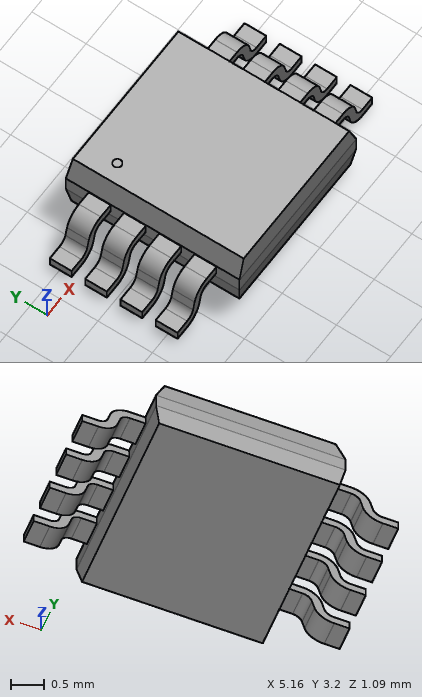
import cadquery as cq
import math

overall_length = 5.16
overall_height = 1.09

waist_length = 3.095
waist_width = 3.2
top_length = 2.795
top_width = 3.15
bottom_length = 2.95
bottom_width = 3.095
standoff = 0.045
waist_bottom_z = 0.43
waist_top_z = 0.71

lead_count_per_side = 4
lead_pitch = 0.65
lead_width = 0.4
lead_thickness = 0.17
lead_top_z = 0.695
shoulder_length = 0.26
foot_length = 0.26
inner_bend_radius = 0.16

marker_diameter = 0.155
marker_depth = 0.02
marker_x = -1.08

half_waist = waist_length / 2
lead_reach = overall_length / 2 - half_waist
outer_bend_radius = inner_bend_radius + lead_thickness
bend_run = lead_reach - shoulder_length - foot_length
bend_drop = lead_top_z - lead_thickness
radius_sum = inner_bend_radius + outer_bend_radius
shank_length = math.sqrt(bend_run**2 + bend_drop**2 - 2 * radius_sum * bend_drop)
bend_angle = math.atan2(radius_sum, shank_length) + math.atan2(bend_drop - radius_sum, bend_run)

first_lead_y = (lead_count_per_side - 1) / 2 * lead_pitch
marker_y = first_lead_y


def tapered_half(waist_z, end_z, end_length, end_width):
    """Loft from the waist rectangle to a smaller end rectangle."""
    return (
        cq.Workplane("XY", origin=(0, 0, waist_z))
        .rect(waist_length, waist_width)
        .workplane(offset=end_z - waist_z)
        .rect(end_length, end_width)
        .loft(ruled=True)
    )


def make_marker():
    """Disc flush with the housing top."""
    return (
        cq.Workplane("XY", origin=(marker_x, marker_y, overall_height - marker_depth))
        .circle(marker_diameter / 2)
        .extrude(marker_depth)
    )


def make_housing():
    """Tapered housing with a recess that holds the marker."""
    waist = (
        cq.Workplane("XY", origin=(0, 0, waist_bottom_z))
        .rect(waist_length, waist_width)
        .extrude(waist_top_z - waist_bottom_z)
    )
    upper = tapered_half(waist_top_z, overall_height, top_length, top_width)
    lower = tapered_half(waist_bottom_z, standoff, bottom_length, bottom_width)
    return waist.union(upper).union(lower).cut(make_marker())


def shoulder_bend_point(radius, angle):
    """Point on the upper bend, at an angle turned from straight up toward the tip."""
    center_x = half_waist + shoulder_length
    center_z = lead_top_z - outer_bend_radius
    return (center_x + radius * math.sin(angle), center_z + radius * math.cos(angle))


def foot_bend_point(radius, angle):
    """Point on the lower bend, at an angle turned from straight down toward the housing."""
    center_x = overall_length / 2 - foot_length
    center_z = outer_bend_radius
    return (center_x - radius * math.sin(angle), center_z - radius * math.cos(angle))


def make_lead(lead_y):
    """Gull-wing lead of the +X row, centred on lead_y and butting against the waist."""
    half_angle = bend_angle / 2
    tip_x = overall_length / 2
    return (
        cq.Workplane("XZ", origin=(0, lead_y + lead_width / 2, 0))
        .moveTo(half_waist, lead_top_z)
        .lineTo(*shoulder_bend_point(outer_bend_radius, 0))
        .threePointArc(
            shoulder_bend_point(outer_bend_radius, half_angle),
            shoulder_bend_point(outer_bend_radius, bend_angle),
        )
        .lineTo(*foot_bend_point(inner_bend_radius, bend_angle))
        .threePointArc(
            foot_bend_point(inner_bend_radius, half_angle),
            foot_bend_point(inner_bend_radius, 0),
        )
        .lineTo(tip_x, lead_thickness)
        .lineTo(tip_x, 0)
        .lineTo(*foot_bend_point(outer_bend_radius, 0))
        .threePointArc(
            foot_bend_point(outer_bend_radius, half_angle),
            foot_bend_point(outer_bend_radius, bend_angle),
        )
        .lineTo(*shoulder_bend_point(inner_bend_radius, bend_angle))
        .threePointArc(
            shoulder_bend_point(inner_bend_radius, half_angle),
            shoulder_bend_point(inner_bend_radius, 0),
        )
        .lineTo(half_waist, lead_top_z - lead_thickness)
        .close()
        .extrude(lead_width)
    )


housing = make_housing()
marker = make_marker()

leads = []
for index in range(lead_count_per_side):
    lead = make_lead(first_lead_y - index * lead_pitch)
    leads.append(lead.val())
    leads.append(lead.mirror("YZ").val())

result = cq.Compound.makeCompound([housing.val(), marker.val(), *leads])